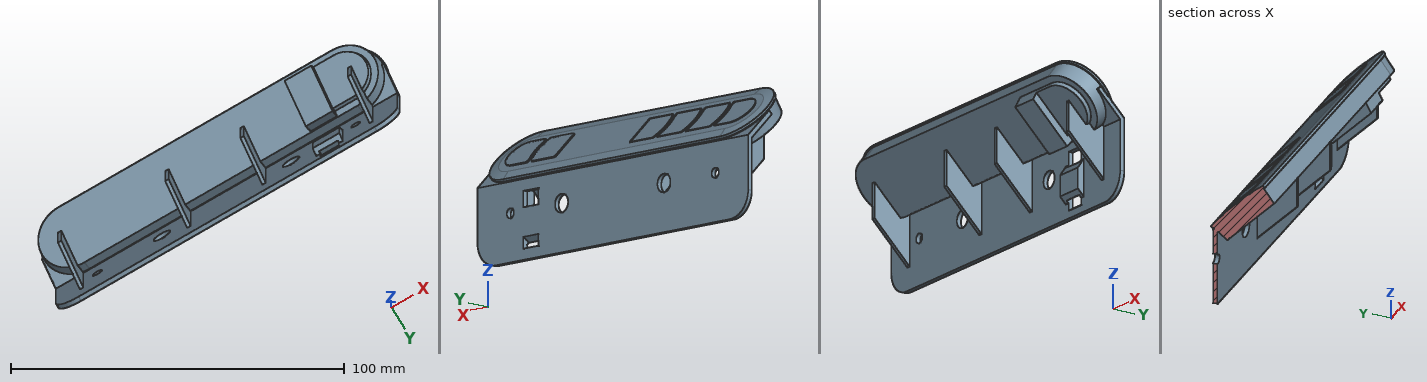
import cadquery as cq
import math

length = 119.0
wall = 1.5
flange_offset = 1.2
bottom_corner_radius = 8.0

head_radius = 11.9
head_end_x = length / 2 - head_radius
head_center_y = -7.7
head_center_z = 34.0
rim_thickness = 1.0
body_radius = 11.5
body_depth = 5.5
body_draft = 8.5
crown_radius = 8.5
crown_height = 0.5
underside = -(rim_thickness + body_depth)

head_normal = cq.Vector(0, 1, 1)

key_radius = 5.8
straight_key_count = 3
key_pitch = 12.5
key_gap = 1.1
key_tip_x = 40.7
key_side_x = 41.0
key_arc_radius = 11.9
row_end_x = -4.0
up_key_inner_x = 28.8
number_key_height = 0.2
arrow_key_height = 0.4
arrow_key_corner_radius = 0.7

clip_left_x = 31.3
clip_width = 9.3
clip_center_x = clip_left_x + clip_width / 2
boss_radius = 8.5
boss_depth = 1.3
boss_draft = 17.0
block_depth = 3.8
block_lower_reach = 10.4

rib_positions = (-50.5, -13.1, 13.1, 50.5)
rib_thickness = 1.2
rib_reach = 14.4
rib_bottom_z = 7.4

clip_projection = 2.1
clip_bottom_z = 4.8
clip_top_z = 16.8
clip_top_slope_height = 3.2
opening_width = 6.5
upper_opening_bottom_z = 16.1
upper_opening_top_z = 21.1
slot_sill_z = 2.4
slot_height = 3.6
slot_rise_per_wall = 1.1

flange_top_sum = head_center_y + head_center_z - flange_offset * math.sqrt(2)
flange_bottom_sum = flange_top_sum - wall * math.sqrt(2)

hole_z = 15.0
small_hole_x = 45.0
small_hole_diameter = 3.1
large_hole_x = 22.5
large_hole_diameter = 5.7


def head_plane(height):
    """Plane parallel to the head; local Y runs down towards the plate."""
    middle = cq.Plane(origin=(0, head_center_y, head_center_z), xDir=(1, 0, 0), normal=head_normal)
    return cq.Workplane(middle).workplane(offset=height)


def stadium(plane, radius, depth, draft=0):
    """Stadium slab centred on the head, grown along the plane normal."""
    sketch = plane.slot2D(2 * (head_end_x + radius), 2 * radius)
    return sketch.extrude(depth, taper=draft)


def profile_along_x(points, left, width):
    """Extrude a closed outline of (Y, Z) points along X."""
    return cq.Workplane("YZ").workplane(offset=left).polyline(points).close().extrude(width)


def box_between(x_left, x_right, y_front, y_back, z_bottom, z_top):
    """Upright box given by its limits along X, Y and Z."""
    size = (x_right - x_left, y_back - y_front, z_top - z_bottom)
    return cq.Workplane("XY").box(*size, centered=False).translate((x_left, y_front, z_bottom))


def make_plate():
    """Upright plate with a flange bent 45 degrees forward under the rim."""
    flange_difference = head_center_z - head_center_y
    points = [
        (0, 0),
        (0, flange_top_sum),
        ((flange_top_sum - flange_difference) / 2, (flange_top_sum + flange_difference) / 2),
        ((flange_bottom_sum - flange_difference) / 2, (flange_bottom_sum + flange_difference) / 2),
        (-wall, flange_bottom_sum + wall),
        (-wall, 0),
    ]
    plate = profile_along_x(points, -length / 2, length)
    return plate.edges("|Y and <Z").fillet(bottom_corner_radius)


def make_rim():
    """Rim plate with a shallow sloped border."""
    rim = stadium(head_plane(-rim_thickness), head_radius, rim_thickness + crown_height)
    top_face = rim.faces(cq.selectors.DirectionMinMaxSelector(head_normal))
    return top_face.edges().chamfer(crown_height, head_radius - crown_radius)


def make_head():
    """Rim with a narrower drafted body below it."""
    body = stadium(head_plane(-rim_thickness), body_radius, -body_depth, body_draft)
    return make_rim().union(body)


def key_blank(x_left, x_right, height):
    """Rectangular key standing on the crown."""
    plane = head_plane(crown_height).center((x_left + x_right) / 2, 0)
    return plane.rect(x_right - x_left, 2 * key_radius).extrude(height)


def key_arc(tip_x, direction, radius, height):
    """Disc whose edge passes through tip_x and whose centre lies in the given direction."""
    plane = head_plane(crown_height).center(tip_x + direction * key_arc_radius, 0)
    return plane.circle(radius).extrude(height)


def make_end_key(side, height):
    """Key with a round outer end and a hollow inner side."""
    outer = stadium(head_plane(crown_height), key_radius, height)
    inner_x = side * key_side_x
    end_x = side * length / 2
    key = outer.intersect(key_blank(min(inner_x, end_x), max(inner_x, end_x), height))
    return key.cut(key_arc(side * key_tip_x, -side, key_arc_radius + key_gap, height))


def make_number_keys():
    """Row of four keys nested into each other."""
    keys = make_end_key(-1, number_key_height)
    for index in range(straight_key_count):
        tip_x = -key_tip_x + index * key_pitch
        is_last = index == straight_key_count - 1
        right_x = row_end_x if is_last else -key_side_x + (index + 1) * key_pitch
        key = key_blank(tip_x, right_x, number_key_height)
        key = key.intersect(key_arc(tip_x, 1, key_arc_radius, number_key_height))
        if not is_last:
            next_tip_x = tip_x + key_pitch
            key = key.cut(key_arc(next_tip_x, 1, key_arc_radius + key_gap, number_key_height))
        keys = keys.union(key)
    return keys


def make_arrow_keys():
    """Up and down keys at the right end."""
    up_key = key_blank(up_key_inner_x, key_tip_x, arrow_key_height)
    up_key = up_key.intersect(key_arc(key_tip_x, -1, key_arc_radius, arrow_key_height))
    keys = up_key.union(make_end_key(1, arrow_key_height))
    return keys.edges(cq.selectors.ParallelDirSelector(head_normal)).fillet(arrow_key_corner_radius)


def make_boss():
    """Low half-stadium boss that runs from the clip to the right end."""
    boss = stadium(head_plane(underside), boss_radius, -boss_depth, boss_draft)
    right_part = box_between(clip_left_x, length, -length, length, 0, length)
    return boss.intersect(right_part)


def make_block():
    """Stop block below the head, in line with the clip."""
    narrowing = block_depth * math.tan(math.radians(boss_draft))
    side = cq.Plane(
        origin=(clip_left_x, head_center_y, head_center_z), xDir=(0, 1, -1), normal=(1, 0, 0)
    )
    points = [
        (-boss_radius, underside),
        (block_lower_reach, underside),
        (block_lower_reach, underside - block_depth),
        (-boss_radius + narrowing, underside - block_depth),
    ]
    return cq.Workplane(side).polyline(points).close().extrude(clip_width)


def make_rib(x_center):
    """Web that fills the corner of plate, flange and head, with a 45 degree lower edge."""
    points = [
        (-wall, rib_bottom_z),
        (-rib_reach, rib_bottom_z + rib_reach - wall),
        (-rib_reach, flange_bottom_sum + rib_reach),
        (-wall, flange_bottom_sum + wall),
    ]
    return profile_along_x(points, x_center - rib_thickness / 2, rib_thickness)


def make_clip():
    """Raised pad on the plate with sloped ends."""
    front_y = -wall - clip_projection
    points = [
        (-wall, clip_bottom_z),
        (front_y, clip_bottom_z + clip_projection),
        (front_y, clip_top_z - clip_top_slope_height),
        (-wall, clip_top_z),
    ]
    return profile_along_x(points, clip_left_x, clip_width)


def make_openings():
    """Rectangular opening above the clip and a slanted slot below it."""
    left = clip_center_x - opening_width / 2
    front_y = -wall - clip_projection
    upper = box_between(
        left, left + opening_width, front_y, 0, upper_opening_bottom_z, upper_opening_top_z
    )
    front_z = slot_sill_z - slot_rise_per_wall * clip_projection / wall
    back_z = slot_sill_z + slot_rise_per_wall
    points = [
        (front_y, front_z),
        (0, back_z),
        (0, back_z + slot_height),
        (front_y, front_z + slot_height),
    ]
    return upper.union(profile_along_x(points, left, opening_width))


def make_holes(x_offset, diameter):
    """Pair of holes through the plate, one on each side."""
    plane = cq.Workplane("XZ")
    centers = [(-x_offset, hole_z), (x_offset, hole_z)]
    return plane.pushPoints(centers).circle(diameter / 2).extrude(wall)


result = make_plate().union(make_head())
for rib_x in rib_positions:
    result = result.union(make_rib(rib_x))
result = result.union(make_clip()).cut(make_openings())
result = result.union(make_boss()).union(make_block())
result = result.union(make_number_keys()).union(make_arrow_keys())
result = result.cut(make_holes(small_hole_x, small_hole_diameter))
result = result.cut(make_holes(large_hole_x, large_hole_diameter))